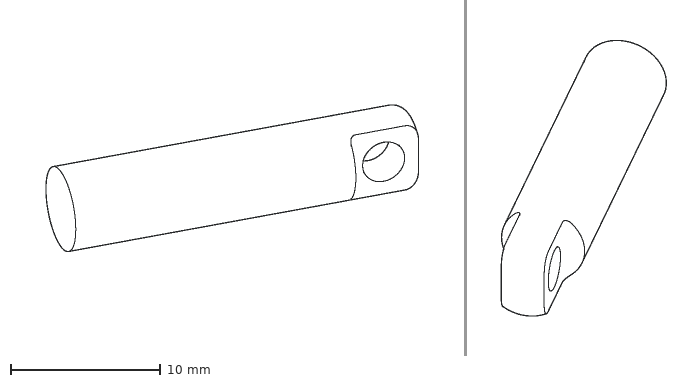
import cadquery as cq

length = 25.0
pin_diameter = 5.8
tang_length = 5.0
tang_thickness = 3.0
root_radius = 0.5
end_radius = 1.0
hole_diameter = 3.0
hole_from_end = 2.5

pin_radius = pin_diameter / 2
shoulder_y = length - tang_length


def make_pin():
    """Round pin along +Y with its far end rim rounded."""
    pin = cq.Workplane("XZ").circle(pin_radius).extrude(-length)
    return pin.faces(">Y").edges().fillet(end_radius)


def make_side_cut(side):
    """Block removed beside the tang (side is +1 or -1), rounded at its root."""
    depth = pin_diameter
    block = cq.Workplane("XY").box(
        depth, 2 * tang_length, 2 * pin_diameter, centered=(True, False, True)
    )
    block = block.translate((side * (tang_thickness + depth) / 2, shoulder_y, 0))
    inner_face = "<X" if side > 0 else ">X"
    return block.faces(inner_face).edges("<Y").fillet(root_radius)


def make_cross_hole():
    """Hole through the tang along X."""
    hole = cq.Workplane("YZ").center(length - hole_from_end, 0)
    return hole.circle(hole_diameter / 2).extrude(pin_radius, both=True)


result = make_pin()
for side in (-1, 1):
    result = result.cut(make_side_cut(side))
result = result.cut(make_cross_hole())